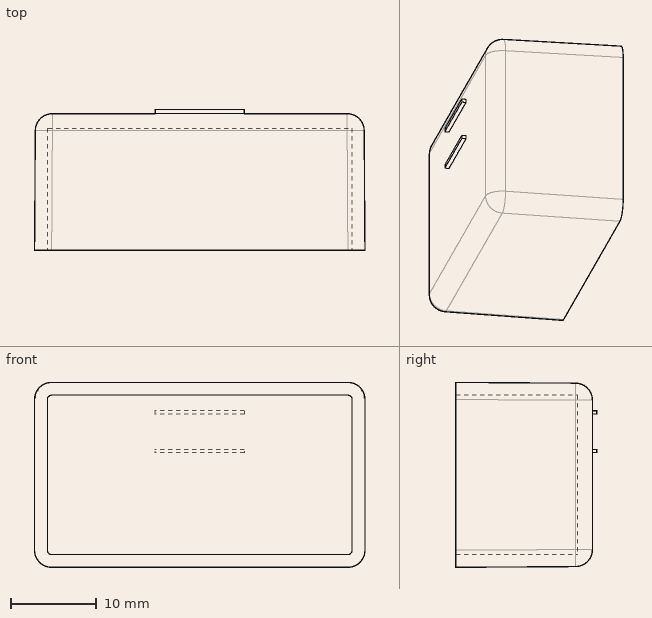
import cadquery as cq


width = 38.6
height = 21.6
total_depth = 16.5

outer_radius = 2.0
wall = 1.5
floor_thickness = 1.75
inner_radius = 0.5
draft_angle = 0.35

bar_rise = 0.5
bar_length = 10.42
bar_thickness = 0.4
upper_bar_z = 7.3
lower_bar_z = 2.78

body_depth = total_depth - bar_rise
cavity_depth = body_depth - floor_thickness


def outer_body():
    """Slightly tapered block, widest at the rim on y = 0, rounded everywhere except at the rim."""
    rim = cq.Workplane("XZ").rect(width, height)
    block = rim.extrude(-body_depth, taper=draft_angle)
    return block.edges("not <Y").fillet(outer_radius)


def cavity():
    """Pocket entering through the rim, with rounded corners and a flat floor."""
    mouth = cq.Workplane("XZ").rect(width - 2 * wall, height - 2 * wall)
    return mouth.extrude(-cavity_depth).edges("|Y").fillet(inner_radius)


def raised_bar(z):
    """Straight bar standing on the flat of the closed face, centred at height z."""
    bar = cq.Workplane("XY").box(bar_length, bar_rise, bar_thickness, centered=(True, False, True))
    return bar.translate((0, body_depth, z))


result = outer_body().cut(cavity())
for bar_z in (upper_bar_z, lower_bar_z):
    result = result.union(raised_bar(bar_z))